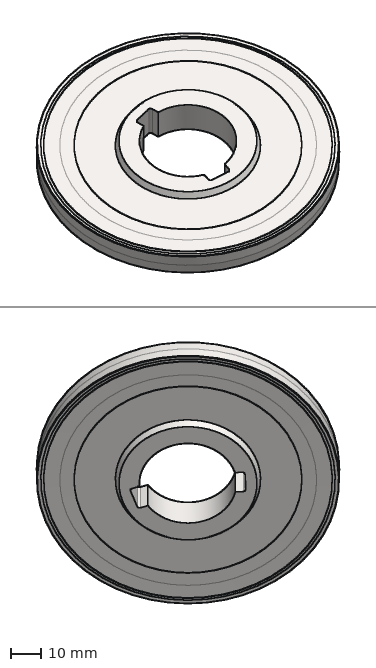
import cadquery as cq

outer_diameter = 99.9
rim_edge_diameter = 99.7
rim_half_width = 4.1
rim_chamfer = 0.2

core_diameter = 97.0
lip_inner_diameter = 95.1
lip_thickness = 0.25

web_diameter = 75.0
web_step = 0.2
cone_rise = 0.05
crease_diameter = 84.6
crease_half_width = 4.0

hub_half_width = 6.0
hub_base_diameter = 47.8
hub_top_diameter = 45.4

bore_diameter = 32.0
keyway_depth_radius = 18.9
keyway_corner_radius = 0.8
keyways = ((0.0, 8.2), (197.5, 7.7))

step_half_width = crease_half_width - cone_rise
web_half_width = step_half_width - web_step
crease_radius = crease_diameter / 2
rim_edge_radius = rim_edge_diameter / 2
lip_inner_radius = lip_inner_diameter / 2
core_radius = core_diameter / 2

face_slope = (rim_half_width - crease_half_width) / (rim_edge_radius - rim_chamfer - crease_radius)
lip_half_width = crease_half_width + face_slope * (lip_inner_radius - crease_radius)
seat_half_width = lip_half_width - lip_thickness


def revolve_symmetric(upper_points):
    """Mirror an upper half outline in the XY plane and revolve it about Z."""
    lower_points = [(radius, -height) for radius, height in reversed(upper_points) if height > 0]
    outline = cq.Workplane("XZ").polyline(upper_points + lower_points).close()
    return outline.revolve(360, (0, 0, 0), (0, 1, 0))


def make_keyway_cutter(angle, width):
    """Bar from the axis outward, with rounded corners at the keyway floor."""
    cutter = (
        cq.Workplane("XY")
        .box(keyway_depth_radius, width, 2 * hub_half_width, centered=(False, True, True))
        .edges("|Z and >X")
        .fillet(keyway_corner_radius)
    )
    return cutter.rotate((0, 0, 0), (0, 0, 1), angle)


def make_core():
    """Hub and web, with the bore, the keyways and a seat for the rim lip."""
    core = revolve_symmetric([
        (bore_diameter / 2, hub_half_width),
        (hub_top_diameter / 2, hub_half_width),
        (hub_base_diameter / 2, web_half_width),
        (web_diameter / 2, web_half_width),
        (web_diameter / 2, step_half_width),
        (crease_radius, crease_half_width),
        (lip_inner_radius, lip_half_width),
        (lip_inner_radius, seat_half_width),
        (core_radius, seat_half_width),
    ])
    for angle, width in keyways:
        core = core.cut(make_keyway_cutter(angle, width))
    return core


def make_rim():
    """Ring around the core, with a thin lip on each face."""
    return revolve_symmetric([
        (core_radius, seat_half_width),
        (lip_inner_radius, seat_half_width),
        (lip_inner_radius, lip_half_width),
        (rim_edge_radius - rim_chamfer, rim_half_width),
        (rim_edge_radius, rim_half_width - rim_chamfer),
        (outer_diameter / 2, 0),
    ])


core = make_core()
rim = make_rim()
result = cq.Compound.makeCompound([core.val(), rim.val()])